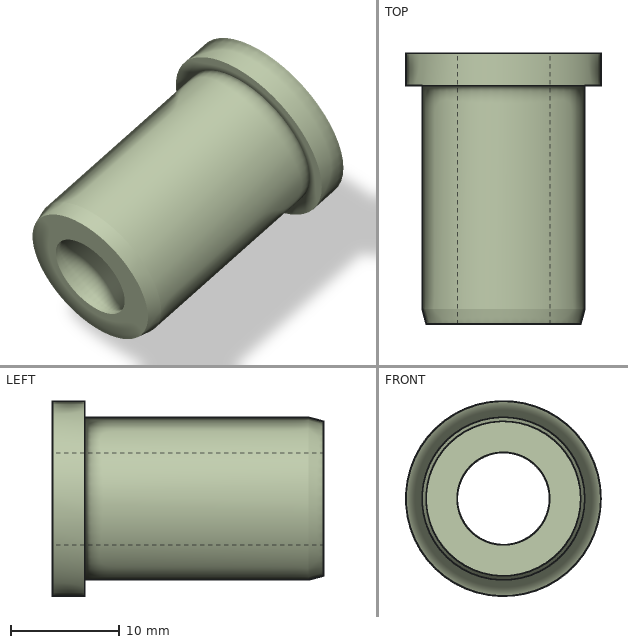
import cadquery as cq

total_length = 25.0
flange_diameter = 18.0
flange_thickness = 3.0
body_diameter = 15.0
bore_diameter = 8.5

taper_length = 1.4
taper_depth = 0.38

flange_radius = flange_diameter / 2
body_radius = body_diameter / 2
bore_radius = bore_diameter / 2
tip_radius = body_radius - taper_depth
flange_start = total_length - flange_thickness

half_section = [
    (bore_radius, 0),
    (tip_radius, 0),
    (body_radius, taper_length),
    (body_radius, flange_start),
    (flange_radius, flange_start),
    (flange_radius, total_length),
    (bore_radius, total_length),
]

result = (
    cq.Workplane("XY")
    .polyline(half_section)
    .close()
    .revolve(360, (0, 0, 0), (0, 1, 0))
)